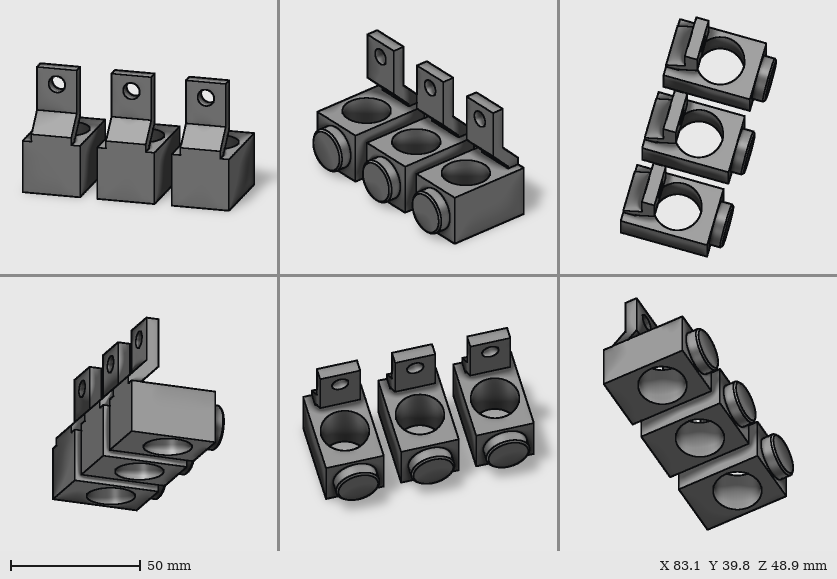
import cadquery as cq
import math

terminal_count = 3
overall_length = 83.1
block_width = 23.1
pitch = (overall_length - block_width) / (terminal_count - 1)

block_depth = 34.7
block_height = 20.9
bore_diameter = 18.8
bore_y = 19.5

head_diameter = 17.4
head_length = 5.1
head_chamfer = 0.75

tab_width = 16.0
tab_thickness = 5.0
tab_offset = 7.6
tab_top = 48.9
front_bend_low = 23.85
front_bend_high = front_bend_low + tab_offset
bend_drop = tab_thickness * (math.sqrt(2) - 1)
rear_bend_low = front_bend_low - bend_drop
rear_bend_high = front_bend_high - bend_drop
tab_hole_diameter = 6.6
tab_hole_z = 42.5


def make_block():
    """Rectangular block with its front bottom edge centred on the origin."""
    return cq.Workplane("XY").box(block_width, block_depth, block_height, centered=(True, False, False))


def make_bore():
    """Cutter for the vertical through bore."""
    return cq.Workplane("XY").center(0, bore_y).circle(bore_diameter / 2).extrude(block_height)


def make_head():
    """Screw head with a chamfered outer rim."""
    plane = cq.Plane(origin=(0, block_depth, block_height / 2), xDir=(1, 0, 0), normal=(0, 1, 0))
    head = cq.Workplane(plane).circle(head_diameter / 2).extrude(head_length)
    return head.faces(">Y").edges().chamfer(head_chamfer)


def make_tab():
    """Tab that leans back from the block and then rises vertically."""
    profile = [
        (0, block_height),
        (0, front_bend_low),
        (tab_offset, front_bend_high),
        (tab_offset, tab_top),
        (tab_offset + tab_thickness, tab_top),
        (tab_offset + tab_thickness, rear_bend_high),
        (tab_thickness, rear_bend_low),
        (tab_thickness, block_height),
    ]
    tab = cq.Workplane("YZ").polyline(profile).close().extrude(tab_width / 2, both=True)
    hole = (
        cq.Workplane("XZ")
        .center(0, tab_hole_z)
        .circle(tab_hole_diameter / 2)
        .extrude(-block_depth)
    )
    return tab.cut(hole)


def make_terminal(x):
    """One complete terminal, a single solid centred at the given x."""
    terminal = make_block().cut(make_bore()).union(make_head()).union(make_tab())
    return terminal.translate((x, 0, 0))


first_x = -pitch * (terminal_count - 1) / 2
terminals = [make_terminal(first_x + i * pitch) for i in range(terminal_count)]

result = cq.Compound.makeCompound([terminal.val() for terminal in terminals])